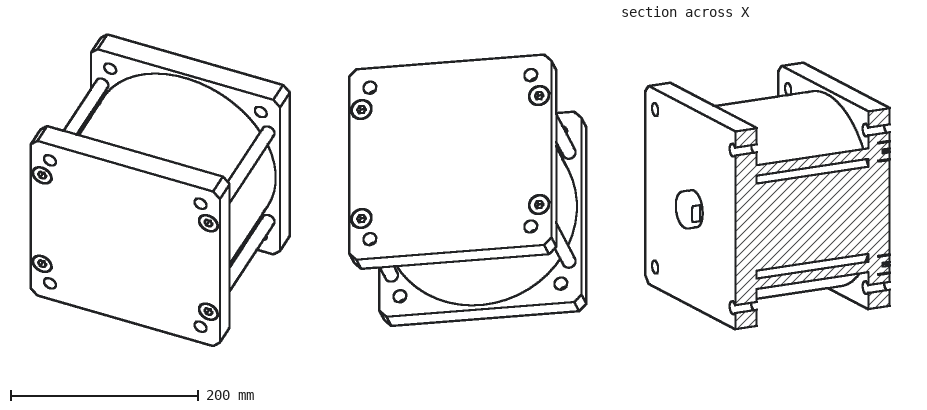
import cadquery as cq

plate_side = 220.0
plate_thickness = 26.2
plate_corner_circle_diameter = 300.0
plate_hole_diameter = 13.9
plate_hole_spacing = 175.0

barrel_diameter = 210.0
total_length = 199.0
rod_projection = 12.0

tie_rod_diameter = 14.0
tie_rod_spacing_x = 193.2
tie_rod_spacing_z = 125.8
counterbore_diameter = 22.0
screw_head_diameter = 21.0
counterbore_depth = 13.9
socket_across_corners = 9.2
socket_depth = 8.8

rod_diameter = 40.0
rod_tip_fillet = 2.0
rod_across_flats = 35.9

rear_plate_end = total_length - rod_projection
barrel_start = plate_thickness
barrel_length = rear_plate_end - 2 * plate_thickness
rear_plate_start = rear_plate_end - plate_thickness


def section(y):
    """Workplane facing +Y at the given Y; its local axes are -X and Z."""
    return cq.Workplane(cq.Plane(origin=(0, y, 0), xDir=(-1, 0, 0), normal=(0, 1, 0)))


def cylinders(y, diameter, length, spacing_x, spacing_z):
    """Four equal cylinders along +Y at the corners of a rectangle."""
    centers = section(y).rect(spacing_x, spacing_z, forConstruction=True).vertices()
    return centers.circle(diameter / 2).extrude(length)


def end_plate(y):
    """Square plate, its corners trimmed by one large circle, with four mounting holes."""
    plate = section(y).rect(plate_side, plate_side).extrude(plate_thickness)
    corner_trim = section(y).circle(plate_corner_circle_diameter / 2).extrude(plate_thickness)
    plate = plate.intersect(corner_trim)
    return plate.cut(
        cylinders(y, plate_hole_diameter, plate_thickness, plate_hole_spacing, plate_hole_spacing)
    )


def screw_details():
    """Material to remove around the screw heads and in their hexagon sockets."""
    gaps = cylinders(0, counterbore_diameter, counterbore_depth, tie_rod_spacing_x, tie_rod_spacing_z).cut(
        cylinders(0, screw_head_diameter, counterbore_depth, tie_rod_spacing_x, tie_rod_spacing_z)
    )
    sockets = (
        section(0)
        .rect(tie_rod_spacing_x, tie_rod_spacing_z, forConstruction=True)
        .vertices()
        .polygon(6, socket_across_corners)
        .extrude(socket_depth)
    )
    return gaps.union(sockets)


def piston_rod_end():
    """Stub with a rounded tip and two flats that run out at 45 degrees to the plate."""
    rod = section(rear_plate_end).circle(rod_diameter / 2).extrude(rod_projection)
    rod = rod.faces(">Y").edges().fillet(rod_tip_fillet)
    flat_x = rod_across_flats / 2
    root_x = rod_diameter / 2
    runout = root_x - flat_x
    envelope = (
        cq.Workplane("XY")
        .polyline(
            [
                (-root_x, rear_plate_end),
                (root_x, rear_plate_end),
                (flat_x, rear_plate_end + runout),
                (flat_x, total_length),
                (-flat_x, total_length),
                (-flat_x, rear_plate_end + runout),
            ]
        )
        .close()
        .extrude(root_x, both=True)
    )
    return rod.intersect(envelope)


front_plate = end_plate(0).cut(screw_details())
barrel = section(barrel_start).circle(barrel_diameter / 2).extrude(barrel_length)
tie_rods = cylinders(barrel_start, tie_rod_diameter, barrel_length, tie_rod_spacing_x, tie_rod_spacing_z)

result = (
    front_plate.union(barrel)
    .union(tie_rods)
    .union(end_plate(rear_plate_start))
    .union(piston_rod_end())
)